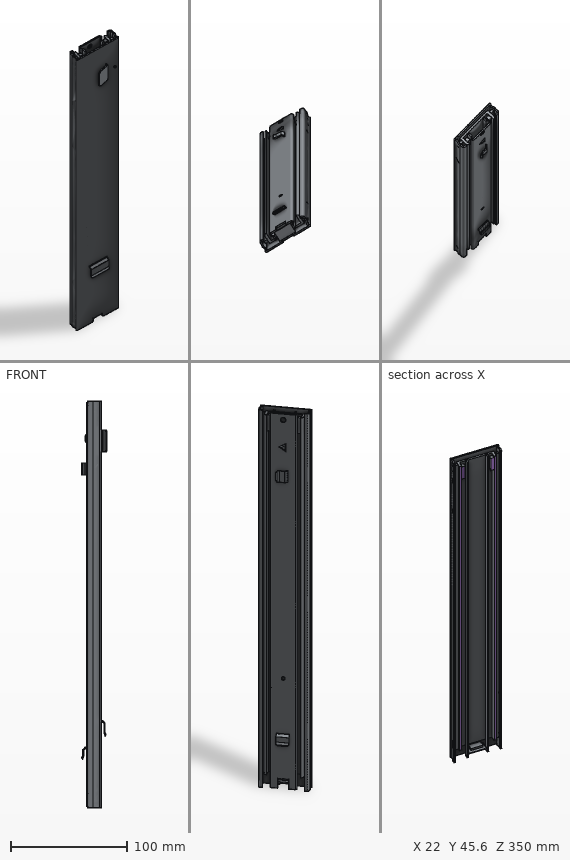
import cadquery as cq


LENGTH = 350.0
HALF_LENGTH = LENGTH / 2
OUTER_HALF_HEIGHT = 22.8
OUTER_HALF_DEPTH = 6.0
OUTER_SHEET = 1.5
OUTER_LIP_END = 18.5
OUTER_LIP_RADIUS = 2.0
OUTER_WEB_RADIUS = 1.0
OUTER_LIP_HALF_HEIGHT = 22.5
RACE_START_X = -1.5
RACE_CREST_X = 0.5
RACE_CREST_DROP = 0.18
RACE_GROOVE_X = 3.0
RACE_END_X = 4.5
RACE_GROOVE_DEPTH = 1.0
OUTER_NOTCH_DEPTH = 4.2

MIDDLE_HALF_HEIGHT = 17.5
MIDDLE_FLANGE = 2.5
MIDDLE_FRONT_X = -6.0
MIDDLE_WEB_X = (1.8, 3.5)
MIDDLE_Z = (-162.8, 171.0)
MIDDLE_RADIUS = 2.0

INNER_HALF_HEIGHT = 12.0
INNER_FRONT_X = -7.0
INNER_SHEET = 1.5
INNER_FLANGE_END_X = 1.0
INNER_STEP_X = -2.8
INNER_STEP = 1.8
INNER_RADIUS = 2.0
INNER_Z = (-174.0, 173.5)
INNER_NOTCH_TOP_Z = -165.0

NOTCH_WIDTH = 9.8
NOTCH_CHAMFER = 1.0

STOP_TAB_WIDTH = 16.0
STOP_TAB_FRONT_X = -4.5
STOP_TAB_BOTTOM_Z = -170.0
STOP_TAB_TOP_Z = -168.7
STOP_STEP_WIDTH = 11.5
STOP_STEP_FRONT_X = -0.7
STOP_STEP_TOP_Z = -166.5

END_HOLE_Z = 168.0
END_HOLE_DIAMETER = 4.5
SMALL_HOLE_Z = -71.8
SMALL_HOLE_DIAMETER = 3.0
ARROW_Z = 142.8
ARROW_TIP_Y = 4.0
ARROW_BASE_Y = -2.8
ARROW_HALF_BASE = 4.0
ARROW_TAPER = 45
MARK_HEIGHT = 1.0
BUTTON_Y = 18.0
BUTTON_Z = 140.7
BUTTON_DIAMETER = 2.0

HOOK_SHEET = 1.0
HOOK_GAP = 2.0
HOOK_FLARE = 1.0
HOOK_FLARE_LENGTH = 3.5
HOOK_BEND = 2.0
HOOK_TIP_SLANT = 1.5
HOOK_CORNER = 1.8
INNER_HOOK_LENGTH = 10.5
INNER_SIDE_HOOK_Y = -4.5
INNER_SIDE_HOOK_Z = 116.5
INNER_SIDE_HOOK_WIDTH = 10.5
INNER_LOW_HOOK_Z = -123.0
INNER_LOW_HOOK_WIDTH = 11.5
OUTER_SIDE_HOOK_Z = 140.7
OUTER_SIDE_HOOK_Y = 9.0
OUTER_SIDE_HOOK_LENGTH = 11.2
OUTER_SIDE_HOOK_REACH = 5.0
OUTER_LOW_HOOK_Z = -99.8
OUTER_LOW_HOOK_LENGTH = 13.5
OUTER_HOOK_WIDTH = 19.0

STRIP_X = (-0.7, 1.5)
STRIP_THICKNESS = 3.0
END_STOP_X = (-3.5, 0.0)
END_STOP_Z = (155.5, 170.0)


def box_between(x_range, y_range, z_range):
    """Box spanning the given ranges."""
    size = [high - low for low, high in (x_range, y_range, z_range)]
    corner = (x_range[0], y_range[0], z_range[0])
    return cq.Workplane("XY").box(*size, centered=False).translate(corner)


def extrude_along_z(outline, z_range):
    """Closed X-Y outline extruded between two heights."""
    bottom, top = z_range
    return cq.Workplane("XY").workplane(offset=bottom).polyline(outline).close().extrude(top - bottom)


def mirrored_outline(half_outline):
    """Close a half outline, given for positive Y, with its mirror image about Y = 0."""
    return half_outline + [(x, -y) for x, y in reversed(half_outline)]


def round_long_edges(rail, x, half_height, radius):
    """Round the two lengthwise edges at (x, half_height) and (x, -half_height)."""
    reach = 0.5
    for y in (half_height, -half_height):
        low = (x - reach, y - reach, -LENGTH)
        high = (x + reach, y + reach, LENGTH)
        rail = rail.edges(cq.selectors.BoxSelector(low, high, boundingbox=False)).edges("|Z").fillet(radius)
    return rail


def fold_hook(profile, width, tip, root, along, outward):
    """Extrude a hook profile (distance along, height above web) and set it on a web."""
    hook = cq.Workplane("XZ").polyline(profile).close().extrude(width / 2, both=True)
    half = width / 2
    plan = [
        (0, -half),
        (tip - HOOK_CORNER, -half),
        (tip, -half + HOOK_CORNER),
        (tip, half - HOOK_CORNER),
        (tip - HOOK_CORNER, half),
        (0, half),
    ]
    tallest = max(height for _, height in profile)
    hook = hook.intersect(cq.Workplane("XY").polyline(plan).close().extrude(tallest))
    seat = cq.Plane(origin=root, xDir=along, normal=outward)
    return cq.Workplane(hook.val().moved(seat.location))


def flared_hook(length, width, root, along, outward):
    """Hook with a plate parallel to the web and a tip that flares away from it."""
    top = HOOK_GAP + HOOK_SHEET
    flare_start = length - HOOK_FLARE_LENGTH
    profile = [
        (0, 0),
        (0, top - HOOK_BEND),
        (HOOK_BEND, top),
        (flare_start, top),
        (length - HOOK_TIP_SLANT, top + HOOK_FLARE),
        (length, HOOK_GAP + HOOK_FLARE),
        (flare_start, HOOK_GAP),
        (HOOK_BEND + HOOK_SHEET / 2, HOOK_GAP),
        (HOOK_SHEET, HOOK_GAP - HOOK_BEND + HOOK_SHEET / 2),
        (HOOK_SHEET, 0),
    ]
    return fold_hook(profile, width, length, root, along, outward)


def sloping_hook(length, reach, width, root, along, outward):
    """Hook whose plate slopes away from the web all the way to the tip."""
    profile = [
        (0, 0),
        (0, HOOK_GAP),
        (length, reach),
        (length, reach - HOOK_SHEET),
        (HOOK_SHEET, HOOK_GAP - HOOK_SHEET),
        (HOOK_SHEET, 0),
    ]
    return fold_hook(profile, width, length, root, along, outward)


def make_outer_flange():
    """Flange on the +Y side: a ball race bulging outward, a groove beside the web and a lip."""
    race = [
        (RACE_CREST_X, OUTER_HALF_HEIGHT - RACE_CREST_DROP),
        (RACE_GROOVE_X, OUTER_HALF_HEIGHT - RACE_GROOVE_DEPTH),
        (RACE_END_X, OUTER_HALF_HEIGHT),
    ]
    race_inside = [(x, y - OUTER_SHEET) for x, y in reversed(race)]
    lip_inside_x = -OUTER_HALF_DEPTH + OUTER_SHEET
    lip_inside_y = OUTER_LIP_HALF_HEIGHT - OUTER_SHEET
    return (
        cq.Workplane("XY")
        .workplane(offset=-HALF_LENGTH)
        .moveTo(-OUTER_HALF_DEPTH + OUTER_LIP_RADIUS, OUTER_LIP_HALF_HEIGHT)
        .lineTo(RACE_START_X, OUTER_LIP_HALF_HEIGHT)
        .spline(race, includeCurrent=True)
        .lineTo(*race_inside[0])
        .spline(race_inside[1:] + [(RACE_START_X, lip_inside_y)], includeCurrent=True)
        .lineTo(lip_inside_x, lip_inside_y)
        .lineTo(lip_inside_x, OUTER_LIP_END)
        .lineTo(-OUTER_HALF_DEPTH, OUTER_LIP_END)
        .lineTo(-OUTER_HALF_DEPTH, OUTER_LIP_HALF_HEIGHT - OUTER_LIP_RADIUS)
        .radiusArc((-OUTER_HALF_DEPTH + OUTER_LIP_RADIUS, OUTER_LIP_HALF_HEIGHT), OUTER_LIP_RADIUS)
        .close()
        .extrude(LENGTH)
    )


def make_outer_rail():
    rail = box_between(
        (OUTER_HALF_DEPTH - OUTER_SHEET, OUTER_HALF_DEPTH),
        (-OUTER_HALF_HEIGHT, OUTER_HALF_HEIGHT),
        (-HALF_LENGTH, HALF_LENGTH),
    )
    rail = round_long_edges(rail, OUTER_HALF_DEPTH, OUTER_HALF_HEIGHT, OUTER_WEB_RADIUS)
    flange = make_outer_flange()
    rail = rail.union(flange).union(flange.mirror("XZ"))

    half_notch = NOTCH_WIDTH / 2
    notch = [
        (-half_notch - NOTCH_CHAMFER, -HALF_LENGTH),
        (-half_notch, -HALF_LENGTH + NOTCH_CHAMFER),
        (-half_notch, -HALF_LENGTH + OUTER_NOTCH_DEPTH),
        (half_notch, -HALF_LENGTH + OUTER_NOTCH_DEPTH),
        (half_notch, -HALF_LENGTH + NOTCH_CHAMFER),
        (half_notch + NOTCH_CHAMFER, -HALF_LENGTH),
    ]
    rail = rail.cut(cq.Workplane("YZ").polyline(notch).close().extrude(OUTER_HALF_DEPTH))

    for front_x, width, top_z in (
        (STOP_TAB_FRONT_X, STOP_TAB_WIDTH, STOP_TAB_TOP_Z),
        (STOP_STEP_FRONT_X, STOP_STEP_WIDTH, STOP_STEP_TOP_Z),
    ):
        y_range = (-width / 2, width / 2)
        rail = rail.union(box_between((front_x, OUTER_HALF_DEPTH), y_range, (STOP_TAB_BOTTOM_Z, top_z)))

    side_hook = sloping_hook(
        OUTER_SIDE_HOOK_LENGTH,
        OUTER_SIDE_HOOK_REACH,
        OUTER_HOOK_WIDTH,
        (OUTER_HALF_DEPTH, OUTER_SIDE_HOOK_Y, OUTER_SIDE_HOOK_Z),
        (0, -1, 0),
        (1, 0, 0),
    )
    low_hook = flared_hook(
        OUTER_LOW_HOOK_LENGTH,
        OUTER_HOOK_WIDTH,
        (OUTER_HALF_DEPTH, 0, OUTER_LOW_HOOK_Z),
        (0, 0, -1),
        (1, 0, 0),
    )
    button = (
        cq.Workplane("YZ", origin=(OUTER_HALF_DEPTH, BUTTON_Y, BUTTON_Z))
        .circle(BUTTON_DIAMETER / 2)
        .extrude(MARK_HEIGHT)
    )
    return rail.union(side_hook).union(low_hook).union(button)


def make_middle_rail():
    web_inside, web_outside = MIDDLE_WEB_X
    flange_inside = MIDDLE_HALF_HEIGHT - MIDDLE_FLANGE
    half_outline = [
        (web_inside, flange_inside),
        (MIDDLE_FRONT_X, flange_inside),
        (MIDDLE_FRONT_X, MIDDLE_HALF_HEIGHT),
        (web_outside, MIDDLE_HALF_HEIGHT),
    ]
    rail = extrude_along_z(mirrored_outline(half_outline), MIDDLE_Z)
    return round_long_edges(rail, MIDDLE_FRONT_X, MIDDLE_HALF_HEIGHT, MIDDLE_RADIUS)


def make_inner_rail():
    web_inside = INNER_FRONT_X + INNER_SHEET
    flange_inside = INNER_HALF_HEIGHT - INNER_SHEET
    half_outline = [
        (web_inside, flange_inside),
        (INNER_STEP_X - INNER_STEP, flange_inside),
        (INNER_STEP_X, flange_inside - INNER_STEP),
        (INNER_FLANGE_END_X, flange_inside - INNER_STEP),
        (INNER_FLANGE_END_X, INNER_HALF_HEIGHT - INNER_STEP),
        (INNER_STEP_X, INNER_HALF_HEIGHT - INNER_STEP),
        (INNER_STEP_X - INNER_STEP, INNER_HALF_HEIGHT),
        (INNER_FRONT_X, INNER_HALF_HEIGHT),
    ]
    rail = extrude_along_z(mirrored_outline(half_outline), INNER_Z)
    rail = round_long_edges(rail, INNER_FRONT_X, INNER_HALF_HEIGHT, INNER_RADIUS)

    half_notch = NOTCH_WIDTH / 2
    web_range = (INNER_FRONT_X, web_inside)
    rail = rail.cut(box_between(web_range, (-half_notch, half_notch), (-HALF_LENGTH, INNER_NOTCH_TOP_Z)))
    for z, diameter in ((END_HOLE_Z, END_HOLE_DIAMETER), (SMALL_HOLE_Z, SMALL_HOLE_DIAMETER)):
        hole = cq.Workplane("YZ", origin=(INNER_FRONT_X, 0, z)).circle(diameter / 2).extrude(INNER_SHEET)
        rail = rail.cut(hole)

    arrow = [
        (ARROW_TIP_Y, ARROW_Z),
        (ARROW_BASE_Y, ARROW_Z + ARROW_HALF_BASE),
        (ARROW_BASE_Y, ARROW_Z - ARROW_HALF_BASE),
    ]
    front = cq.Workplane("YZ", origin=(INNER_FRONT_X, 0, 0))
    rail = rail.union(front.polyline(arrow).close().extrude(-MARK_HEIGHT, taper=ARROW_TAPER))

    side_hook = flared_hook(
        INNER_HOOK_LENGTH,
        INNER_SIDE_HOOK_WIDTH,
        (INNER_FRONT_X, INNER_SIDE_HOOK_Y, INNER_SIDE_HOOK_Z),
        (0, 1, 0),
        (-1, 0, 0),
    )
    low_hook = flared_hook(
        INNER_HOOK_LENGTH,
        INNER_LOW_HOOK_WIDTH,
        (INNER_FRONT_X, 0, INNER_LOW_HOOK_Z),
        (0, 0, -1),
        (-1, 0, 0),
    )
    return rail.union(side_hook).union(low_hook)


def make_ball_strip(side):
    """Strip lying on the middle flange inside the outer flange on one side of Y = 0."""
    near, far = MIDDLE_HALF_HEIGHT, MIDDLE_HALF_HEIGHT + STRIP_THICKNESS
    y_range = sorted((side * near, side * far))
    return box_between(STRIP_X, y_range, MIDDLE_Z)


def make_end_stop(side):
    """Short block between the inner and middle flanges near the upper end."""
    near, far = INNER_HALF_HEIGHT, MIDDLE_HALF_HEIGHT - MIDDLE_FLANGE
    y_range = sorted((side * near, side * far))
    return box_between(END_STOP_X, y_range, END_STOP_Z)


outer_rail = make_outer_rail()
middle_rail = make_middle_rail()
inner_rail = make_inner_rail()
ball_strips = [make_ball_strip(side) for side in (1, -1)]
end_stops = [make_end_stop(side) for side in (1, -1)]

result = cq.Compound.makeCompound(
    [
        outer_rail.val(),
        middle_rail.val(),
        inner_rail.val(),
        *[strip.val() for strip in ball_strips],
        *[stop.val() for stop in end_stops],
    ]
)